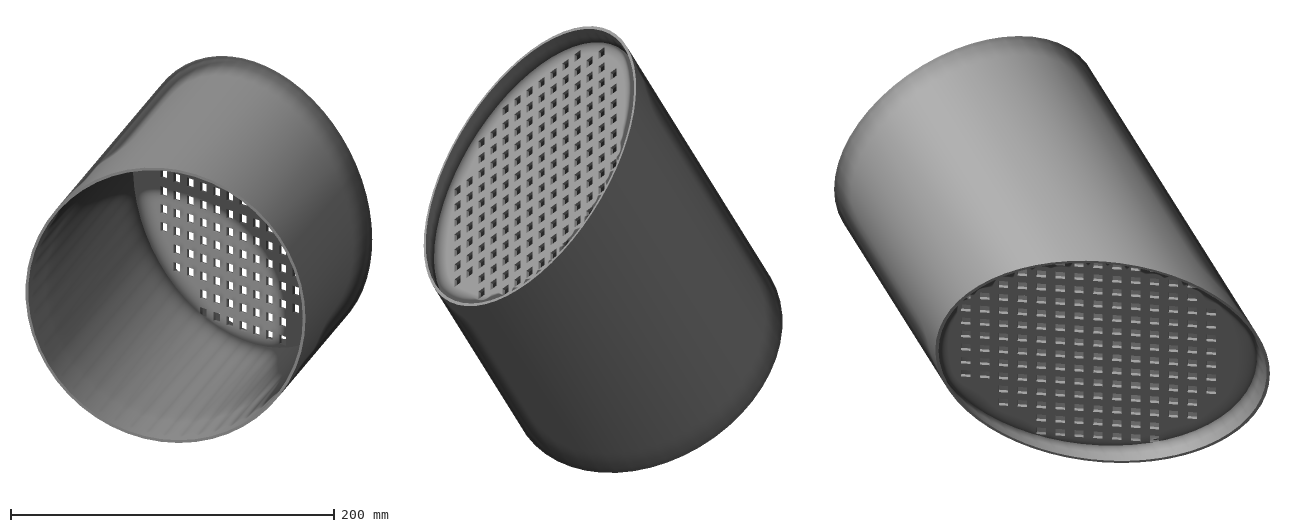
import cadquery as cq
import math

tube_length = 255.0
outer_diameter = 180.0
inner_diameter = 176.5
mitre_angle = 30.0

plate_diameter = 178.2
plate_thickness = 2.0
plate_setback = 12.5

hole_size = 5.9
hole_pitch = 2 * hole_size
grid_count = 14
grid_offset = 2.8
first_column = grid_offset - (grid_count - 1) / 2 * hole_pitch
first_row = (grid_count - 1) / 2 * hole_pitch - grid_offset
hole_blocks = [
    (3, 7, 0, grid_count),
    (1, 11, 1, 11),
    (0, grid_count, 3, 7),
]

slope = math.radians(mitre_angle)
mitre_middle = tube_length - outer_diameter / 2 * math.tan(slope)


def slanted_plane(setback):
    """Plane parallel to the mitre, set back from it; local x runs down the slope, local y is up."""
    return cq.Plane(
        origin=(0, mitre_middle - setback / math.cos(slope), 0),
        xDir=(math.cos(slope), -math.sin(slope), 0),
        normal=(-math.sin(slope), -math.cos(slope), 0),
    )


def rod(diameter):
    """Solid cylinder along Y over the full tube length."""
    return cq.Workplane("XZ").circle(diameter / 2).extrude(-tube_length)


def slab(setback, thickness):
    """Slanted slab, wider than the tube, whose back face has the given setback."""
    size = 3 * tube_length
    return cq.Workplane(slanted_plane(setback)).rect(size, size).extrude(thickness)


def plate_blank():
    """Grille plate before its holes, also the shape of its groove in the tube wall."""
    return rod(plate_diameter).intersect(slab(plate_setback, plate_thickness))


def make_tube():
    tube = rod(outer_diameter).cut(rod(inner_diameter))
    tube = tube.intersect(slab(0, 2 * tube_length))
    return tube.cut(plate_blank())


def hole_centres():
    """Centre of every hole, with cells shared by several blocks listed once."""
    cells = set()
    for column, column_count, row, row_count in hole_blocks:
        for i in range(column, column + column_count):
            for j in range(row, row + row_count):
                cells.add((i, j))
    return [(first_column + i * hole_pitch, first_row - j * hole_pitch) for i, j in sorted(cells)]


def make_grille():
    holes = (
        cq.Workplane(slanted_plane(plate_setback))
        .pushPoints(hole_centres())
        .rect(hole_size, hole_size)
        .extrude(plate_thickness)
    )
    return plate_blank().cut(holes)


tube = make_tube()
grille = make_grille()

result = cq.Compound.makeCompound([tube.solids().val(), grille.solids().val()])